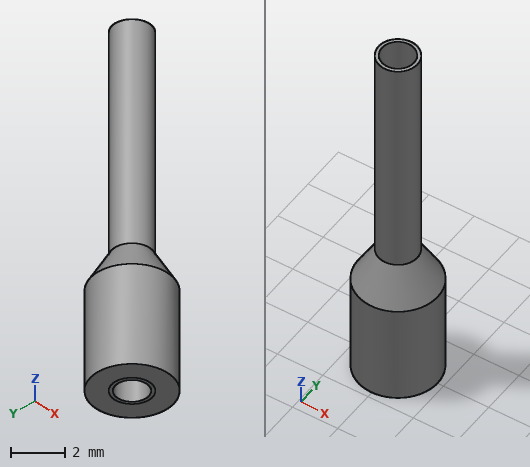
import cadquery as cq

total_height = 16.0
collar_barrel_height = 4.46
collar_cone_height = 1.54
collar_height = collar_barrel_height + collar_cone_height

collar_diameter = 3.5
tube_diameter = 1.71
bore_diameter = 1.4

collar_radius = collar_diameter / 2
tube_radius = tube_diameter / 2
bore_radius = bore_diameter / 2


def make_tube():
    """Thin straight sleeve, open at both ends, running the full height."""
    return cq.Workplane("XY").circle(tube_radius).circle(bore_radius).extrude(total_height)


def make_collar():
    """Insulating collar: a barrel tapering at the top down to the tube it surrounds."""
    body = (
        cq.Workplane("XZ")
        .moveTo(0, 0)
        .lineTo(collar_radius, 0)
        .lineTo(collar_radius, collar_barrel_height)
        .lineTo(tube_radius, collar_height)
        .lineTo(0, collar_height)
        .close()
        .revolve(360, (0, 0, 0), (0, 1, 0))
    )
    tube_hole = cq.Workplane("XY").circle(tube_radius).extrude(collar_height)
    return body.cut(tube_hole)


tube = make_tube()
collar = make_collar()

result = cq.Compound.makeCompound([tube.val(), collar.val()])